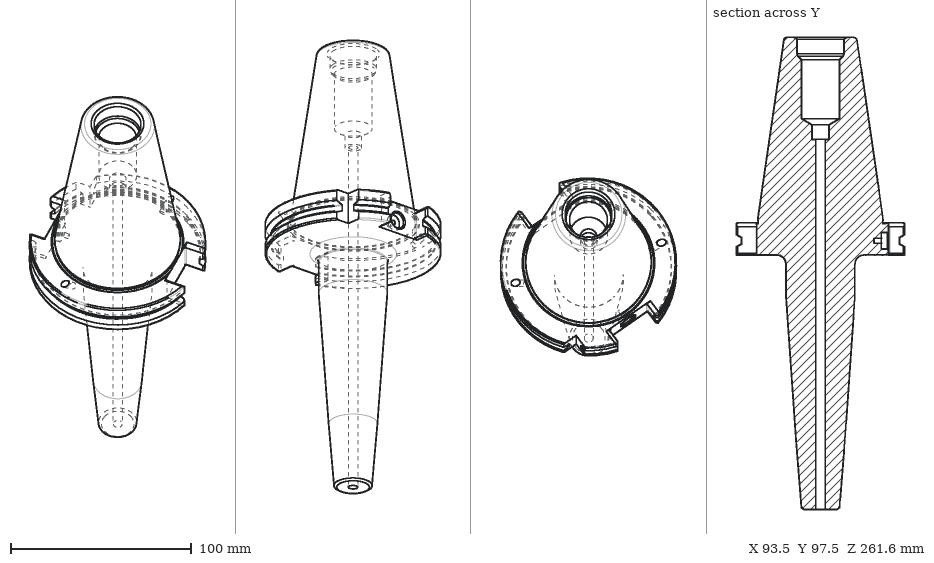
import math

import cadquery as cq


gauge_radius = 69.85 / 2
taper_slope = 7 / 48
shank_length = 101.6
shank_top_radius = gauge_radius - taper_slope * shank_length
shank_rim_round = 2.0

flange_radius = 97.5 / 2
flange_top = -1.1
flange_bottom = -19.1
flange_edge_round = 0.8

taper_bottom = 0.4
undercut_wall_radius = 34.6
undercut_wall_top = -0.3
undercut_floor = -1.6
undercut_floor_radius = 36.0
undercut_mouth_radius = 36.7

groove_middle = -11.1
groove_floor_radius = 45.6
groove_mouth_width = 7.1
groove_flank_angle = 30.0
groove_root_round = 0.5

collar_radius = 19.3
collar_root_round = 4.7
neck_radius = 19.1
neck_step_height = 0.7
neck_bottom = -42.8
cone_break_z = -121.6
cone_break_radius = 13.6
nose_bottom = -160.0
nose_radius = 10.6
nose_chamfer_height = 1.0
nose_chamfer_width = 1.6

bore_mouth_radius = 14.6
bore_mouth_depth = 1.0
counterbore_radius = 13.0
counterbore_depth = 9.1
lead_in_radius = 12.4
lead_in_depth = 10.5
thread_radius = 10.5
bore_depth = 45.0
bore_tip_angle = 118.0
channel_entry_radius = 4.7
channel_entry_depth = 8.0
channel_radius = 2.5

slot_width = 25.7
slot_floor_left = 37.7
slot_floor_right = 35.3
slot_top_bevel = 2.2
slot_bottom_bevel = 1.0
slot_corner_round = 0.5
slot_mouth_chamfer = 0.94

notch_edge = 29.9

side_hole_radius = 5.2
side_hole_depth = 4.0
side_hole_chamfer = 0.7
side_pilot_radius = 1.3
side_pilot_depth = 8.0

coolant_pitch_radius = 42.0
coolant_azimuth = 70.2
coolant_tilt = 42.0
coolant_radius = 1.9
coolant_depth = 9.0


def make_body():
    """Shank, flange and nose turned as one profile of (radius, height)."""
    collar_bottom = flange_bottom - collar_root_round
    outline = (
        cq.Workplane("XZ")
        .moveTo(0, shank_length)
        .lineTo(shank_top_radius, shank_length)
        .lineTo(gauge_radius - taper_slope * taper_bottom, taper_bottom)
        .lineTo(undercut_wall_radius, undercut_wall_top)
        .lineTo(undercut_wall_radius, undercut_floor)
        .lineTo(undercut_floor_radius, undercut_floor)
        .lineTo(undercut_mouth_radius, flange_top)
        .lineTo(flange_radius, flange_top)
        .lineTo(flange_radius, flange_bottom)
        .lineTo(collar_radius + collar_root_round, flange_bottom)
        .radiusArc((collar_radius, collar_bottom), -collar_root_round)
        .lineTo(neck_radius, collar_bottom - neck_step_height)
        .lineTo(neck_radius, neck_bottom)
        .lineTo(cone_break_radius, cone_break_z)
        .lineTo(nose_radius, nose_bottom + nose_chamfer_height)
        .lineTo(nose_radius - nose_chamfer_width, nose_bottom)
        .lineTo(0, nose_bottom)
        .close()
    )
    body = outline.revolve(360, (0, 0), (0, 1))
    body = body.faces(">Z").edges().fillet(shank_rim_round)
    rim = cq.selectors.RadiusNthSelector(-1)
    return body.edges("%CIRCLE").edges(rim).fillet(flange_edge_round)


def make_groove():
    """Ring that cuts the V-groove, with rounded floor corners."""
    depth = flange_radius - groove_floor_radius
    half_mouth = groove_mouth_width / 2
    flank_slope = math.tan(math.radians(groove_flank_angle))
    half_floor = half_mouth - depth * flank_slope
    overshoot = 2.0
    half_outer = half_mouth + overshoot * flank_slope
    outer_radius = flange_radius + overshoot
    ring = (
        cq.Workplane("XZ")
        .polyline([
            (groove_floor_radius, groove_middle - half_floor),
            (outer_radius, groove_middle - half_outer),
            (outer_radius, groove_middle + half_outer),
            (groove_floor_radius, groove_middle + half_floor),
        ])
        .close()
        .revolve(360, (0, 0), (0, 1))
    )
    floor_edges = cq.selectors.RadiusNthSelector(0)
    return ring.edges("%CIRCLE").edges(floor_edges).fillet(groove_root_round)


def make_bore():
    """Stepped bore down the axis, with a through channel to the nose."""
    tip_slope = math.tan(math.radians(bore_tip_angle / 2))
    tip_height = (thread_radius - channel_entry_radius) / tip_slope
    lead_in_z = shank_length - lead_in_depth
    thread_z = lead_in_z - (lead_in_radius - thread_radius)
    tip_z = shank_length - bore_depth
    entry_z = tip_z - tip_height
    entry_floor_z = entry_z - channel_entry_depth
    return (
        cq.Workplane("XZ")
        .polyline([
            (0, shank_length),
            (bore_mouth_radius, shank_length),
            (counterbore_radius, shank_length - bore_mouth_depth),
            (counterbore_radius, shank_length - counterbore_depth),
            (lead_in_radius, lead_in_z),
            (thread_radius, thread_z),
            (thread_radius, tip_z),
            (channel_entry_radius, entry_z),
            (channel_entry_radius, entry_floor_z),
            (channel_radius, entry_floor_z),
            (channel_radius, nose_bottom),
            (0, nose_bottom),
        ])
        .close()
        .revolve(360, (0, 0), (0, 1))
    )


def make_edge_bevel(floor_distance, face_z, other_face_z, bevel):
    """Trapezoid bar that bevels both slot walls where they meet one flange face."""
    half_width = slot_width / 2
    wide_half = half_width + bevel
    deep_z = face_z + math.copysign(bevel, other_face_z - face_z)
    return (
        cq.Workplane("YZ", origin=(floor_distance, 0, 0))
        .polyline([
            (-wide_half, face_z),
            (-half_width, deep_z),
            (half_width, deep_z),
            (wide_half, face_z),
        ])
        .close()
        .extrude(flange_radius - floor_distance)
    )


def make_slot(floor_distance, side):
    """Drive slot on one side (+1 or -1 along X) with bevelled wall edges."""
    half_width = slot_width / 2
    flange_height = flange_top - flange_bottom
    channel = (
        cq.Workplane("XY", origin=(floor_distance, -half_width, flange_bottom))
        .box(flange_radius - floor_distance, slot_width, flange_height, centered=False)
        .edges("|Z and <X")
        .fillet(slot_corner_round)
    )
    mouth_half = half_width + slot_mouth_chamfer
    mouth_x = math.sqrt(flange_radius**2 - mouth_half**2)
    flare_start = mouth_x - slot_mouth_chamfer
    flare_length = flange_radius - flare_start
    flare = (
        cq.Workplane("XY", origin=(0, 0, flange_bottom))
        .polyline([
            (flare_start, -half_width),
            (flange_radius, -half_width - flare_length),
            (flange_radius, half_width + flare_length),
            (flare_start, half_width),
        ])
        .close()
        .extrude(flange_height)
    )
    slot = channel.union(flare)
    slot = slot.union(make_edge_bevel(floor_distance, flange_top, flange_bottom, slot_top_bevel))
    slot = slot.union(make_edge_bevel(floor_distance, flange_bottom, flange_top, slot_bottom_bevel))
    return slot if side > 0 else slot.mirror("YZ")


def make_notch():
    """Square-cornered orientation notch through the full flange thickness."""
    size = flange_radius - notch_edge
    return (
        cq.Workplane("XY", origin=(-flange_radius, notch_edge, flange_bottom))
        .rect(size, size, centered=False)
        .extrude(flange_top - flange_bottom)
    )


def make_side_hole():
    """Stepped blind hole in the floor of the left slot."""
    mouth = cq.Workplane("YZ", origin=(-slot_floor_left, 0, groove_middle))
    recess = mouth.circle(side_hole_radius - side_hole_chamfer).extrude(side_hole_depth)
    countersink = cq.Workplane(
        cq.Solid.makeCone(
            side_hole_radius,
            side_hole_radius - side_hole_chamfer,
            side_hole_chamfer,
            cq.Vector(-slot_floor_left, 0, groove_middle),
            cq.Vector(1, 0, 0),
        )
    )
    pilot = mouth.circle(side_pilot_radius).extrude(side_pilot_depth)
    return recess.union(countersink).union(pilot)


def make_coolant_hole(azimuth):
    """Blind hole leaning toward the axis as it goes down from the flange face."""
    tilt = math.radians(coolant_tilt)
    drill_axis = cq.Vector(-math.sin(tilt), 0, -math.cos(tilt))
    mouth = cq.Vector(coolant_pitch_radius, 0, flange_top)
    start = mouth - drill_axis * (2 * coolant_radius)
    length = coolant_depth + 2 * coolant_radius
    drill = cq.Solid.makeCylinder(coolant_radius, length, start, drill_axis)
    return cq.Workplane(drill).rotate((0, 0, 0), (0, 0, 1), azimuth)


result = make_body()
result = result.cut(make_groove())
result = result.cut(make_bore())
result = result.cut(make_slot(slot_floor_right, 1))
result = result.cut(make_slot(slot_floor_left, -1))
result = result.cut(make_notch())
result = result.cut(make_side_hole())
for azimuth in (coolant_azimuth, coolant_azimuth + 180):
    result = result.cut(make_coolant_hole(azimuth))